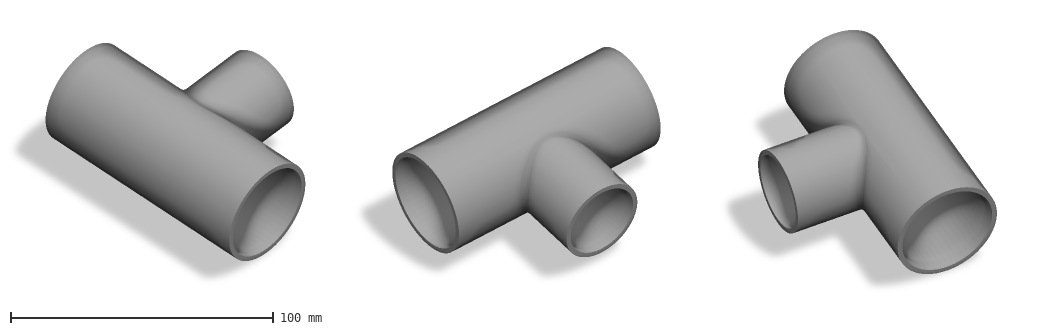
import cadquery as cq

run_length = 96.0
run_outer_diameter = 42.4
branch_outer_diameter = 33.7
wall_thickness = 2.0
branch_reach = run_length / 2
joint_fillet_radius = 2.0

run_bore_diameter = run_outer_diameter - 2 * wall_thickness
branch_bore_diameter = branch_outer_diameter - 2 * wall_thickness


def run_cylinder(diameter):
    """Solid cylinder over the full run, centred on the origin."""
    return cq.Workplane("YZ").circle(diameter / 2).extrude(run_length / 2, both=True)


def branch_cylinder(diameter):
    """Solid cylinder from the run axis to the open end of the branch."""
    return cq.Workplane("XZ").circle(diameter / 2).extrude(-branch_reach)


def joint_edges():
    """Select the joint curve, the only edge wholly inside a box around the branch root."""
    box_reach = branch_outer_diameter
    return cq.selectors.BoxSelector(
        (-box_reach, 0, -box_reach),
        (box_reach, box_reach, box_reach),
        boundingbox=True,
    )


outer_body = run_cylinder(run_outer_diameter).union(branch_cylinder(branch_outer_diameter))
outer_body = outer_body.edges(joint_edges()).fillet(joint_fillet_radius)

run_bore = run_cylinder(run_bore_diameter)
branch_bore = branch_cylinder(branch_bore_diameter)
result = outer_body.cut(run_bore).cut(branch_bore)